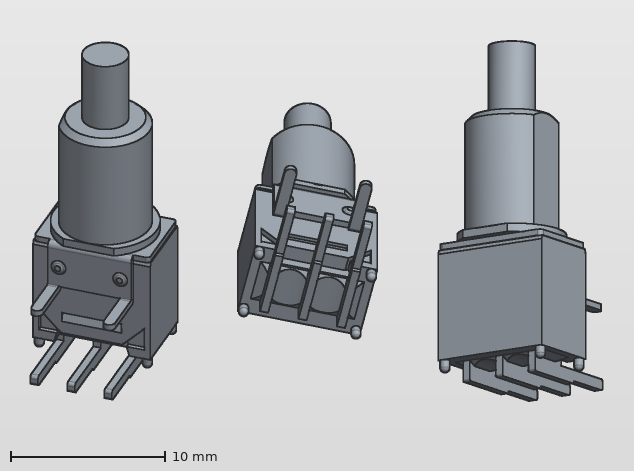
import cadquery as cq


HOUSING_WIDTH = 8.12
HOUSING_DEPTH = 5.1
HOUSING_HEIGHT = 7.32
HOUSING_FRONT = -HOUSING_DEPTH / 2
SIDE_WALL = 0.4
FLOOR_TOP = 0.67
RIM_HEIGHT = 0.27
RIM_INSET = 0.11

COVER_TOP = 7.72
COVER_WIDTH = 8.0
COVER_CORNER = 0.27

PANEL_THICKNESS = 0.33
PANEL_BOTTOM = 0.75
PANEL_BOTTOM_HALF = 2.14
PANEL_HALF = HOUSING_WIDTH / 2 - SIDE_WALL
NOTCH_BOTTOM_HALF = 2.6
NOTCH_TOP_HALF = 2.34
NOTCH_BACK = -1.58
WINDOW_WIDTH = 4.15
WINDOW_BOTTOM = 1.62
WINDOW_TOP = 2.3
WINDOW_DEPTH = 0.22

TOTAL_HEIGHT = 22.25
TOTAL_DEPTH = 9.45

WASHER_DIAMETER = 7.12
WASHER_ACROSS_FLATS = 6.2
WASHER_TOP = 8.28
BUSHING_DIAMETER = 6.1
BUSHING_FLAT = 2.7
BUSHING_TOP = 16.12
BUSHING_CHAMFER = 0.42
PLUNGER_DIAMETER = 3.05

PIN_PITCH = 2.55
PIN_WIDTH = 0.53
PIN_BACK = 1.47
PIN_TIP = WASHER_ACROSS_FLATS / 2 - TOTAL_DEPTH
PIN_BOTTOM = -1.38
PIN_LEG_TOP = -0.47
PIN_LEG_BOTTOM = -1.2
PIN_STEP = -2.94
PIN_STEP_RUN = 0.1
PIN_TIP_RADIUS = 0.22
PIN_HEEL_RADIUS = 0.11
PIN_ROOT_FRONT = -1.54
PLUNGER_TOP = TOTAL_HEIGHT + PIN_BOTTOM

RESIN_DROP = 0.47
RESIN_WEB_DROP = 0.07
RESIN_HALF_LENGTH = 1.45
RESIN_HALF_WIDTH = 3.45

PEG_DIAMETER = 0.65
PEG_STRAIGHT = 0.47

BRACKET_WIDTH = 5.79
BRACKET_THICKNESS = 0.42
BRACKET_FRONT = HOUSING_FRONT - BRACKET_THICKNESS
BRACKET_TOP_RADIUS = 0.4
LUG_BOTTOM = 4.07
LUG_TOP = LUG_BOTTOM + BRACKET_THICKNESS
LUG_WIDTH = 0.78
LUG_TIP = -6.32
LUG_BEND_RADIUS = 0.25
LUG_ROOT_RADIUS = 0.07

RIVET_X = 2.14
RIVET_Z = 5.95
RIVET_RINGS = [(1.0, 0.0), (0.73, 0.07), (0.4, 0.15)]

OVERLAP = 0.11

ROOT_MARGIN = 0.011


def front_prism(points, depth):
    """Prism from an XZ outline on the housing front, running inward by depth."""
    plane = cq.Workplane("XZ", origin=(0, HOUSING_FRONT, 0))
    return plane.polyline(points).close().extrude(-depth)


def make_housing():
    """Block with sloped front and back rims under a round-cornered cover plate."""
    straight = HOUSING_HEIGHT - RIM_HEIGHT
    block = cq.Workplane("XY").rect(HOUSING_WIDTH, HOUSING_DEPTH).extrude(straight)
    rim = (
        cq.Workplane("XY", origin=(0, 0, straight))
        .rect(HOUSING_WIDTH, HOUSING_DEPTH)
        .workplane(offset=RIM_HEIGHT)
        .rect(HOUSING_WIDTH, HOUSING_DEPTH - 2 * RIM_INSET)
        .loft(ruled=True)
    )
    cover = (
        cq.Workplane("XY", origin=(0, 0, HOUSING_HEIGHT))
        .rect(COVER_WIDTH, HOUSING_DEPTH)
        .extrude(COVER_TOP - HOUSING_HEIGHT)
        .edges("|Z")
        .fillet(COVER_CORNER)
    )
    return block.union(rim).union(cover)


def make_corner_pocket(side):
    """Triangular opening beside a bevelled lower corner of the front panel."""
    bevel_top = PANEL_BOTTOM + PANEL_HALF - PANEL_BOTTOM_HALF
    bevel_end = PANEL_BOTTOM_HALF - (PANEL_BOTTOM - FLOOR_TOP)
    points = [
        (side * PANEL_HALF, bevel_top),
        (side * bevel_end, FLOOR_TOP),
        (side * PANEL_HALF, FLOOR_TOP),
    ]
    return front_prism(points, PANEL_THICKNESS)


def make_notch():
    """Flared opening in the floor, up to the lower edge of the front panel."""
    shoulder = PANEL_BOTTOM + NOTCH_TOP_HALF - PANEL_BOTTOM_HALF
    right = [
        (NOTCH_BOTTOM_HALF, 0),
        (NOTCH_TOP_HALF, shoulder),
        (PANEL_BOTTOM_HALF, PANEL_BOTTOM),
    ]
    left = [(-x, z) for x, z in reversed(right)]
    return front_prism(right + left, NOTCH_BACK - HOUSING_FRONT)


def make_latch_window():
    return (
        cq.Workplane("YZ")
        .moveTo(HOUSING_FRONT, WINDOW_BOTTOM)
        .lineTo(HOUSING_FRONT + WINDOW_DEPTH, WINDOW_TOP)
        .lineTo(HOUSING_FRONT, WINDOW_TOP)
        .close()
        .extrude(WINDOW_WIDTH / 2, both=True)
    )


def make_actuator():
    """Flatted washer, keyed bushing and plunger stacked on the Z axis."""
    washer = cq.Workplane("XY", origin=(0, 0, COVER_TOP)).circle(WASHER_DIAMETER / 2)
    washer = washer.extrude(WASHER_TOP - COVER_TOP)
    flats = cq.Workplane("XY").rect(WASHER_DIAMETER, WASHER_ACROSS_FLATS).extrude(WASHER_TOP)
    washer = washer.intersect(flats)

    bushing = (
        cq.Workplane("XY", origin=(0, 0, COVER_TOP))
        .circle(BUSHING_DIAMETER / 2)
        .extrude(BUSHING_TOP - COVER_TOP)
        .faces(">Z")
        .chamfer(BUSHING_CHAMFER)
    )
    key_side = (
        cq.Workplane("XY", origin=(-BUSHING_FLAT, 0, 0))
        .rect(BUSHING_DIAMETER, BUSHING_DIAMETER)
        .extrude(BUSHING_TOP)
        .translate((-BUSHING_DIAMETER / 2, 0, 0))
    )
    bushing = bushing.cut(key_side)

    plunger = cq.Workplane("XY", origin=(0, 0, COVER_TOP)).circle(PLUNGER_DIAMETER / 2)
    plunger = plunger.extrude(PLUNGER_TOP - COVER_TOP)
    return washer.union(bushing).union(plunger)


def make_pin(x):
    """Flat terminal blade bent forward below the housing."""
    outline = [
        (PIN_BACK, OVERLAP),
        (PIN_BACK, PIN_BOTTOM),
        (PIN_STEP, PIN_BOTTOM),
        (PIN_STEP - PIN_STEP_RUN, PIN_LEG_BOTTOM),
        (PIN_TIP, PIN_LEG_BOTTOM),
        (PIN_TIP, PIN_LEG_TOP),
        (PIN_ROOT_FRONT, PIN_LEG_TOP),
        (PIN_ROOT_FRONT, OVERLAP),
    ]
    pin = cq.Workplane("YZ", origin=(x, 0, 0)).polyline(outline).close()
    pin = pin.extrude(PIN_WIDTH / 2, both=True)
    pin = pin.faces("<Y").edges("|X").fillet(PIN_TIP_RADIUS)
    return pin.faces(">Y").edges("<Z").fillet(PIN_HEEL_RADIUS)


def make_resin():
    """Resin bead, rounded in YZ and hanging lower at each terminal in XZ."""
    bead = (
        cq.Workplane("YZ")
        .moveTo(-RESIN_HALF_LENGTH, 0)
        .threePointArc((0, -RESIN_DROP), (RESIN_HALF_LENGTH, 0))
        .lineTo(RESIN_HALF_LENGTH, OVERLAP)
        .lineTo(-RESIN_HALF_LENGTH, OVERLAP)
        .close()
        .extrude(RESIN_HALF_WIDTH, both=True)
    )
    web = (PIN_PITCH / 2, -RESIN_WEB_DROP)
    end = (RESIN_HALF_WIDTH, 0)
    scallops = (
        cq.Workplane("XZ")
        .moveTo(-end[0], end[1])
        .lineTo(-PIN_PITCH, -RESIN_DROP)
        .threePointArc((-web[0], web[1]), (0, -RESIN_DROP))
        .threePointArc(web, (PIN_PITCH, -RESIN_DROP))
        .lineTo(*end)
        .lineTo(end[0], OVERLAP)
        .lineTo(-end[0], OVERLAP)
        .close()
        .extrude(RESIN_HALF_LENGTH, both=True)
    )
    return bead.intersect(scallops)


def make_peg(x, y):
    """Round standoff peg with a hemispherical end."""
    radius = PEG_DIAMETER / 2
    shank = cq.Workplane("XY", origin=(x, y, -PEG_STRAIGHT)).circle(radius)
    shank = shank.extrude(PEG_STRAIGHT + OVERLAP)
    tip = cq.Workplane("XY", origin=(x, y, -PEG_STRAIGHT)).sphere(radius)
    return shank.union(tip)


def make_lug(x):
    """Forward lug with a rounded bend and a full-round tip."""
    half = LUG_WIDTH / 2
    return (
        cq.Workplane("XY", origin=(x, 0, LUG_BOTTOM))
        .moveTo(-half, HOUSING_FRONT)
        .lineTo(-half, LUG_TIP + half)
        .threePointArc((0, LUG_TIP), (half, LUG_TIP + half))
        .lineTo(half, HOUSING_FRONT)
        .close()
        .extrude(BRACKET_THICKNESS)
        .edges("|X and >Y and <Z")
        .fillet(LUG_BEND_RADIUS)
    )


def make_bracket():
    """Plate on the housing front with two lugs bent forward."""
    plate = (
        cq.Workplane("XY", origin=(0, HOUSING_FRONT - BRACKET_THICKNESS / 2, LUG_TOP))
        .rect(BRACKET_WIDTH, BRACKET_THICKNESS)
        .extrude(COVER_TOP - LUG_TOP)
        .edges("|X and <Y and >Z")
        .fillet(BRACKET_TOP_RADIUS)
    )
    bracket = plate
    for side in (-1, 1):
        bracket = bracket.union(make_lug(side * (BRACKET_WIDTH - LUG_WIDTH) / 2))
    lug_roots = cq.selectors.BoxSelector(
        (-BRACKET_WIDTH, BRACKET_FRONT - ROOT_MARGIN, LUG_TOP - ROOT_MARGIN),
        (BRACKET_WIDTH, BRACKET_FRONT + ROOT_MARGIN, LUG_TOP + ROOT_MARGIN),
    )
    inner_roots = cq.selectors.LengthNthSelector(0)
    return bracket.edges(lug_roots).edges("|X").edges(inner_roots).fillet(LUG_ROOT_RADIUS)


def make_rivet(x):
    """Domed rivet head of two coned rings pointing toward -Y."""
    rings = [(diameter / 2, height) for diameter, height in RIVET_RINGS]
    outline = [(0, 0)] + rings + [(0, rings[-1][1])]
    head = cq.Workplane("XY").polyline(outline).close().revolve(360, (0, 0, 0), (0, 1, 0))
    return head.mirror("XZ").translate((x, BRACKET_FRONT, RIVET_Z))


result = make_housing().cut(make_notch()).cut(make_latch_window())
for side in (-1, 1):
    result = result.cut(make_corner_pocket(side))

result = result.union(make_actuator()).union(make_bracket()).union(make_resin())
for column in (-1, 0, 1):
    result = result.union(make_pin(column * PIN_PITCH))

peg_x = (HOUSING_WIDTH - PEG_DIAMETER) / 2
peg_y = (HOUSING_DEPTH - PEG_DIAMETER) / 2
for side in (-1, 1):
    result = result.union(make_rivet(side * RIVET_X))
    for end in (-1, 1):
        result = result.union(make_peg(side * peg_x, end * peg_y))